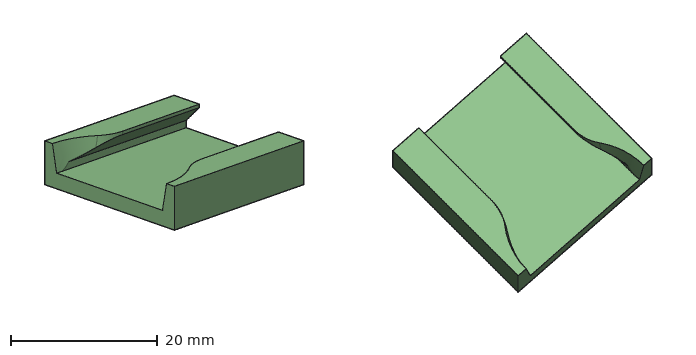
import cadquery as cq

SIDE = 25.0
HEIGHT = 6.4
FLOOR = 2.3

CHANNEL_HALF = 10.15
OPENING_HALF = 7.62
LIP_EDGE = 0.5
LIP_SLOPE_DROP = CHANNEL_HALF - OPENING_HALF

LEAD_IN_TOP_RADIUS = 11.0
LEAD_IN_FLOOR_RADIUS = 10.2
LEAD_IN_BLEND = 5.75
EDGE_MARGIN = 0.25

FRONT = -SIDE / 2
BACK = SIDE / 2
LIP_BOTTOM = HEIGHT - LIP_EDGE
WALL_TOP = LIP_BOTTOM - LIP_SLOPE_DROP


def make_channel():
    """Full-length channel with sloped undercuts below the lips."""
    right_half = [
        (CHANNEL_HALF, FLOOR),
        (CHANNEL_HALF, WALL_TOP),
        (OPENING_HALF, LIP_BOTTOM),
        (OPENING_HALF, HEIGHT),
    ]
    left_half = [(-x, z) for x, z in reversed(right_half)]
    return (
        cq.Workplane("XZ", origin=(0, BACK, 0))
        .polyline(right_half + left_half)
        .close()
        .extrude(SIDE)
    )


def make_lead_in():
    """Cone opening the lips at the front, blended into the straight lip edges."""
    cone = cq.Workplane(
        cq.Solid.makeCone(
            LEAD_IN_FLOOR_RADIUS,
            LEAD_IN_TOP_RADIUS,
            HEIGHT - FLOOR,
            pnt=cq.Vector(0, FRONT, FLOOR),
        )
    )
    opening = cq.Workplane(origin=(0, FRONT, FLOOR)).box(
        2 * OPENING_HALF, SIDE, HEIGHT - FLOOR, centered=(True, False, False)
    )
    edge_zone = cq.selectors.BoxSelector(
        (-LEAD_IN_TOP_RADIUS, FRONT + EDGE_MARGIN, FLOOR + EDGE_MARGIN),
        (LEAD_IN_TOP_RADIUS, 0, HEIGHT - EDGE_MARGIN),
    )
    return cone.union(opening).edges(edge_zone).fillet(LEAD_IN_BLEND)


block = cq.Workplane().box(SIDE, SIDE, HEIGHT, centered=(True, True, False))
result = block.cut(make_channel()).cut(make_lead_in())